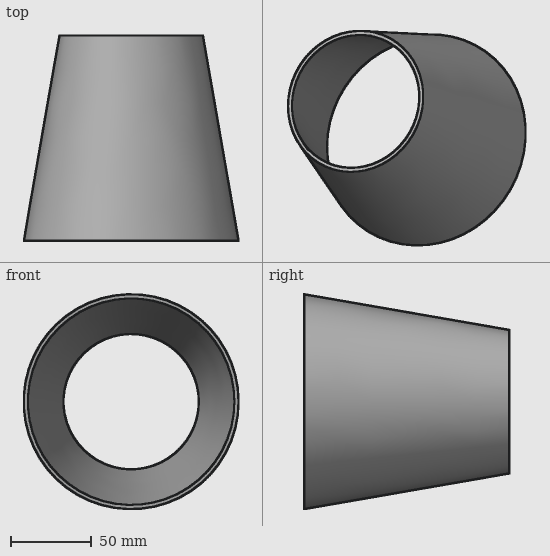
import cadquery as cq

length = 127.0
wide_diameter = 133.0
narrow_diameter = 88.8
wall = 2.7

wide_radius = wide_diameter / 2
narrow_radius = narrow_diameter / 2

wall_section = (
    cq.Workplane("XY")
    .moveTo(wide_radius - wall, 0)
    .lineTo(wide_radius, 0)
    .lineTo(narrow_radius, length)
    .lineTo(narrow_radius - wall, length)
    .close()
)

result = wall_section.revolve(360, (0, 0, 0), (0, 1, 0))